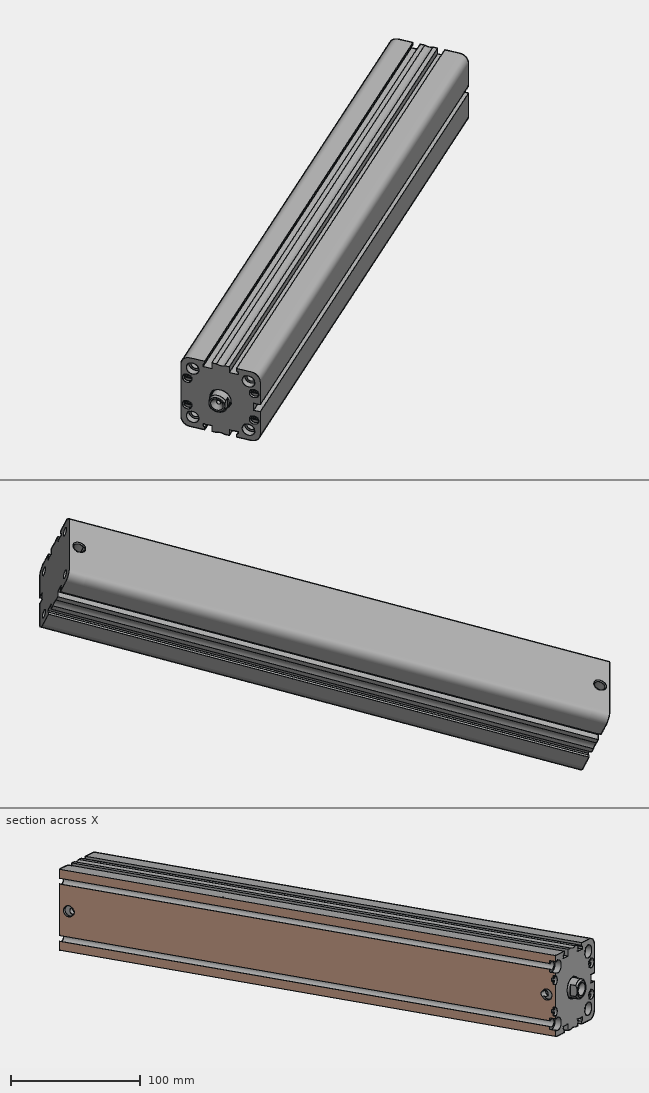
import cadquery as cq
import math

TOTAL_LENGTH = 453.0
WIDTH = 65.5
ROD_STICKOUT = 7.5
CAP_LENGTH = 14.5
CORNER_RADIUS = 7.5

FRONT_Y = -TOTAL_LENGTH / 2 + ROD_STICKOUT
REAR_Y = TOTAL_LENGTH / 2
ROD_TIP_Y = -TOTAL_LENGTH / 2
HALF_WIDTH = WIDTH / 2

GROOVE_WIDTH = 7.0
GROOVE_DIAMETER = 16.5

SENSOR_INNER_X = 7.2
SENSOR_LIP_X = 13.0
SENSOR_UNDERCUT_X = 14.5
SENSOR_LIP_DEPTH = 2.3
SENSOR_TAPER_DEPTH = 3.5
SLOT_DEPTH = 5.5

SIDE_SLOT_WIDTH = 7.0

TIE_OFFSET = 23.0
TIE_HOLE_DIAMETER = 7.0
TIE_COUNTERBORE_DIAMETER = 10.5
TIE_COUNTERBORE_DEPTH = 5.5

SCREW_X = 27.5
SCREW_Z = 12.5
SCREW_DIAMETER = 7.5
SCREW_RECESS_DEPTH = 2.3
DRIVER_SLOT_WIDTH = 2.3
DRIVER_SLOT_DEPTH = 1.5

PORT_FROM_END = 8.0
PORT_MOUTH_DIAMETER = 10.5
PORT_DIAMETER = 8.5
PORT_DEPTH = 9.0
PASSAGE_DIAMETER = 5.0
PASSAGE_DEPTH = 4.5

ROD_DIAMETER = 16.0
ROD_CHAMFER = 1.5
ROD_FLATS_ACROSS = 13.0
ROD_FLATS_LENGTH = 6.0
ROD_HOLE_DIAMETER = 3.5
ROD_COUNTERSINK_DIAMETER = 10.5
ROD_HOLE_DEPTH = 13.5
ROD_RECESS_DIAMETER = 17.5
ROD_RECESS_DEPTH = 2.3
ROD_BORE_DEPTH = CAP_LENGTH


def along_y(y):
    """Workplane at the given Y: local x is X, local y is Z, and its normal points to -Y."""
    return cq.Workplane(cq.Plane(origin=(0, y, 0), xDir=(1, 0, 0), normal=(0, -1, 0)))


def cylinder_y(diameter, start_y, length, x=0, z=0):
    """Round bar that runs from start_y toward +Y."""
    return along_y(start_y).center(x, z).circle(diameter / 2).extrude(-length)


def cylinder_x(diameter, y, start_x, length):
    """Round bar on the Z = 0 plane that runs from start_x toward +X."""
    plane = cq.Plane(origin=(start_x, y, 0), xDir=(0, 1, 0), normal=(1, 0, 0))
    return cq.Workplane(plane).circle(diameter / 2).extrude(length)


def cone(mouth_diameter, end_diameter, mouth_center, direction):
    """90-degree cone that narrows from its mouth in the given direction."""
    depth = (mouth_diameter - end_diameter) / 2
    solid = cq.Solid.makeCone(mouth_diameter / 2, end_diameter / 2, depth, mouth_center, direction)
    return cq.Workplane(solid)


def section(start_y, length):
    """Square profile with rounded corners and the two shallow middle grooves."""
    block = along_y(start_y).rect(WIDTH, WIDTH).extrude(-length).edges("|Y").fillet(CORNER_RADIUS)
    groove_axis_z = HALF_WIDTH + math.sqrt(GROOVE_DIAMETER**2 - GROOVE_WIDTH**2) / 2
    for side in (1, -1):
        block = block.cut(cylinder_y(GROOVE_DIAMETER, start_y, length, z=side * groove_axis_z))
    return block


def sensor_slot(side_x, side_z):
    """Undercut slot along the whole housing; the sides are +1 or -1."""
    profile = [
        (SENSOR_INNER_X, 0),
        (SENSOR_LIP_X, 0),
        (SENSOR_LIP_X, SENSOR_LIP_DEPTH),
        (SENSOR_UNDERCUT_X, SENSOR_TAPER_DEPTH),
        (SENSOR_UNDERCUT_X, SLOT_DEPTH),
        (SENSOR_INNER_X, SLOT_DEPTH),
    ]
    points = [(side_x * x, side_z * (HALF_WIDTH - depth)) for x, depth in profile]
    return along_y(FRONT_Y).polyline(points).close().extrude(FRONT_Y - REAR_Y)


def side_slot():
    """Plain slot along the whole +X side."""
    slot = along_y(FRONT_Y).center(HALF_WIDTH - SLOT_DEPTH / 2, 0)
    return slot.rect(SLOT_DEPTH, SIDE_SLOT_WIDTH).extrude(FRONT_Y - REAR_Y)


def tie_hole(x, z):
    """Through hole with a counterbore in the front face."""
    hole = cylinder_y(TIE_HOLE_DIAMETER, FRONT_Y, REAR_Y - FRONT_Y, x, z)
    return hole.union(cylinder_y(TIE_COUNTERBORE_DIAMETER, FRONT_Y, TIE_COUNTERBORE_DEPTH, x, z))


def screw_recess(x, z):
    """Round recess with a driver slot in its floor."""
    recess = cylinder_y(SCREW_DIAMETER, FRONT_Y, SCREW_RECESS_DEPTH, x, z)
    slot_bottom = SCREW_RECESS_DEPTH + DRIVER_SLOT_DEPTH
    disc = cylinder_y(SCREW_DIAMETER, FRONT_Y, slot_bottom, x, z)
    bar = along_y(FRONT_Y).center(x, z).rect(SCREW_DIAMETER, DRIVER_SLOT_WIDTH).extrude(-slot_bottom)
    return recess.union(disc.intersect(bar))


def air_port(y, toward_barrel):
    """Port with a tapered mouth and a small passage in its floor, toward the barrel."""
    passage_y = y + toward_barrel * PASSAGE_DIAMETER / 2
    mouth = cone(
        PORT_MOUTH_DIAMETER, PORT_DIAMETER, cq.Vector(-HALF_WIDTH, y, 0), cq.Vector(1, 0, 0)
    )
    port = cylinder_x(PORT_DIAMETER, y, -HALF_WIDTH, PORT_DEPTH)
    passage = cylinder_x(PASSAGE_DIAMETER, passage_y, -HALF_WIDTH, PORT_DEPTH + PASSAGE_DEPTH)
    return port.union(mouth).union(passage)


def make_housing():
    """Barrel with its two end caps; one solid that keeps the edges where they meet."""
    barrel_start = FRONT_Y + CAP_LENGTH
    barrel_end = REAR_Y - CAP_LENGTH
    body = section(FRONT_Y, CAP_LENGTH)
    body = body.union(section(barrel_start, barrel_end - barrel_start), clean=False)
    body = body.union(section(barrel_end, CAP_LENGTH), clean=False)

    cutters = [side_slot()]
    for side_x in (1, -1):
        for side_z in (1, -1):
            cutters.append(sensor_slot(side_x, side_z))
            cutters.append(tie_hole(side_x * TIE_OFFSET, side_z * TIE_OFFSET))
            cutters.append(screw_recess(side_x * SCREW_X, side_z * SCREW_Z))
    cutters.append(air_port(FRONT_Y + PORT_FROM_END, 1))
    cutters.append(air_port(REAR_Y - PORT_FROM_END, -1))
    cutters.append(cylinder_y(ROD_RECESS_DIAMETER, FRONT_Y, ROD_RECESS_DEPTH))
    cutters.append(cylinder_y(ROD_DIAMETER, FRONT_Y, ROD_BORE_DEPTH))
    for cutter in cutters:
        body = body.cut(cutter, clean=False)
    return body


def make_rod():
    """Rod with wrench flats, an end chamfer and a countersunk hole."""
    rod = cylinder_y(ROD_DIAMETER, ROD_TIP_Y, ROD_STICKOUT + ROD_BORE_DEPTH)
    rod = rod.faces("<Y").chamfer(ROD_CHAMFER)
    flats = along_y(ROD_TIP_Y).rect(ROD_FLATS_ACROSS, ROD_DIAMETER).extrude(-ROD_FLATS_LENGTH)
    tip = cylinder_y(ROD_DIAMETER, ROD_TIP_Y, ROD_FLATS_LENGTH)
    rod = rod.cut(tip.cut(flats))
    hole = along_y(ROD_TIP_Y).circle(ROD_HOLE_DIAMETER / 2).extrude(-ROD_HOLE_DEPTH)
    countersink = cone(
        ROD_COUNTERSINK_DIAMETER, ROD_HOLE_DIAMETER, cq.Vector(0, ROD_TIP_Y, 0), cq.Vector(0, 1, 0)
    )
    return rod.cut(hole).cut(countersink)


housing = make_housing()
rod = make_rod()
result = cq.Compound.makeCompound([housing.solids().val(), rod.solids().val()])